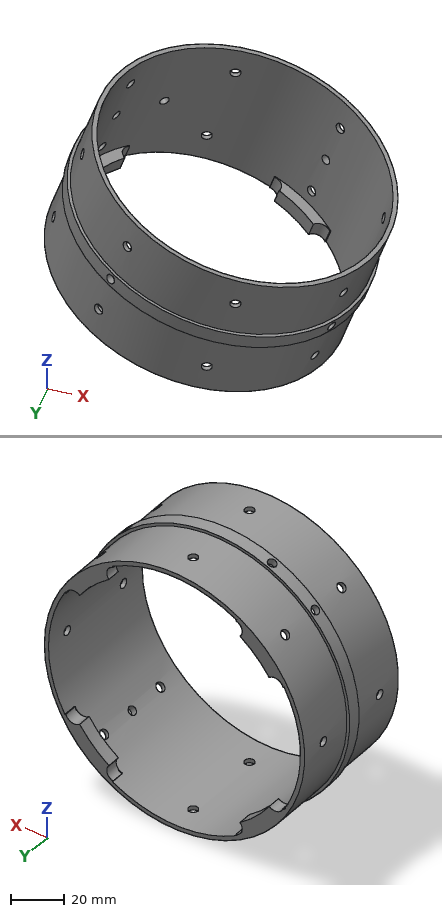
import cadquery as cq
import math

length = 60.0
body_diameter = 120.0
bore_diameter = 116.0

band_diameter = 122.5
band_width = 6.0

hole_diameter = 4.0
hole_row_offset = 18.0
hole_count = 8
band_hole_diameter = 3.8
band_hole_angles = (45, 112.5, 135, 225, 315)

tab_inner_radius = 53.0
tab_thickness = 6.0
tab_angles = (45, 135, 225, 315)
tab_half_angle = 15.5
notch_radius = 3.9
notch_half_angle = 14.5
notch_centre_radius = 53.7

body_radius = body_diameter / 2
bore_radius = bore_diameter / 2
tab_outer_radius = (body_radius + bore_radius) / 2


def cylinder_y(diameter, width):
    """Cylinder along Y, centred on the origin."""
    return cq.Workplane("XZ", origin=(0, width / 2, 0)).circle(diameter / 2).extrude(width)


def polar(radius, angle):
    """Point in the XZ plane, with the angle in degrees from +X towards +Z."""
    return radius * math.cos(math.radians(angle)), radius * math.sin(math.radians(angle))


def tab(angle):
    """Ring sector with a round notch cut into both ends."""
    start = angle - tab_half_angle
    end = angle + tab_half_angle
    end_face = cq.Workplane("XZ", origin=(0, length / 2, 0))
    sector = (
        end_face.moveTo(*polar(tab_inner_radius, start))
        .threePointArc(polar(tab_inner_radius, angle), polar(tab_inner_radius, end))
        .lineTo(*polar(tab_outer_radius, end))
        .threePointArc(polar(tab_outer_radius, angle), polar(tab_outer_radius, start))
        .close()
        .extrude(tab_thickness)
    )
    notch_centres = [polar(notch_centre_radius, angle + side * notch_half_angle) for side in (-1, 1)]
    notches = end_face.pushPoints(notch_centres).circle(notch_radius).extrude(tab_thickness)
    return sector.cut(notches)


def radial_hole(diameter, angle, y):
    """Cutter from the axis outwards through one side of the wall."""
    x, z = polar(1, angle)
    return cq.Workplane(
        cq.Solid.makeCylinder(diameter / 2, band_diameter, cq.Vector(0, y, 0), cq.Vector(x, 0, z))
    )


result = cylinder_y(body_diameter, length).union(cylinder_y(band_diameter, band_width))
result = result.cut(cylinder_y(bore_diameter, length))

for tab_angle in tab_angles:
    result = result.union(tab(tab_angle))

for index in range(hole_count):
    for row_y in (-hole_row_offset, hole_row_offset):
        result = result.cut(radial_hole(hole_diameter, index * 360 / hole_count, row_y))

for band_angle in band_hole_angles:
    result = result.cut(radial_hole(band_hole_diameter, band_angle, 0))